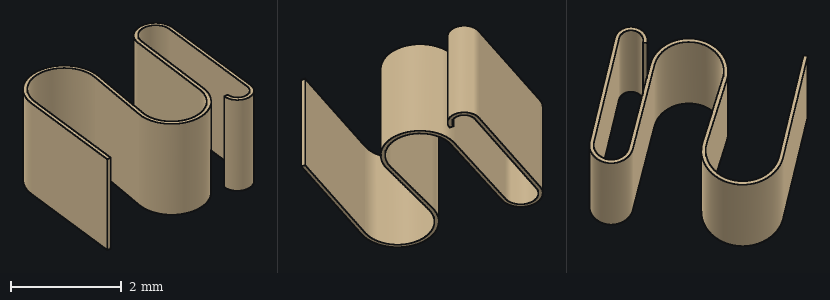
import cadquery as cq
import math

width = 3.0
depth = 3.5
height = 2.0
thickness = 0.08

foot_radius = 0.75
middle_radius = 0.715
top_radius = 0.4
hook_radius = 0.3

middle_x = 2.25
middle_y = 2.045

CLOCKWISE = -1
COUNTERCLOCKWISE = 1

foot_bend = ((foot_radius, foot_radius), foot_radius, CLOCKWISE)
middle_bend = ((middle_x, middle_y), middle_radius, COUNTERCLOCKWISE)
top_bend = ((top_radius, depth - top_radius), top_radius, CLOCKWISE)
hook_bend = ((width - hook_radius, depth - hook_radius), hook_radius, CLOCKWISE)


def tangent_heading(first, second):
    """Heading of the straight run joining two bends that turn opposite ways."""
    (x1, y1), radius1, turn = first
    (x2, y2), radius2, _ = second
    dx = x2 - x1
    dy = y2 - y1
    mid_radii = radius1 + radius2 - thickness
    return math.atan2(dy, dx) + turn * math.asin(mid_radii / math.hypot(dx, dy))


def bend_point(bend, heading, on_outside):
    """Point where one face of a bend runs in the given heading."""
    (x, y), outer_radius, turn = bend
    radius = outer_radius if on_outside else outer_radius - thickness
    return (x + turn * radius * math.sin(heading), y - turn * radius * math.cos(heading))


lower_run = tangent_heading(foot_bend, middle_bend)
upper_run = tangent_heading(middle_bend, top_bend)

path = [
    (foot_bend, math.pi, lower_run),
    (middle_bend, lower_run, upper_run),
    (top_bend, upper_run, 0.0),
    (hook_bend, 0.0, -math.pi),
]


def face_arcs(left_face):
    """Start, middle and end points of every arc on one face of the strip."""
    arcs = []
    for bend, entry, leave in path:
        turn = bend[2]
        on_outside = left_face == (turn == CLOCKWISE)
        headings = (entry, (entry + leave) / 2, leave)
        arcs.append([bend_point(bend, heading, on_outside) for heading in headings])
    return arcs


outline = cq.Workplane("XY").moveTo(width, 0)
for start, middle, end in face_arcs(left_face=True):
    outline = outline.lineTo(*start).threePointArc(middle, end)
for start, middle, end in reversed(face_arcs(left_face=False)):
    outline = outline.lineTo(*end).threePointArc(middle, start)
outline = outline.lineTo(width, thickness).close()

result = outline.extrude(height)